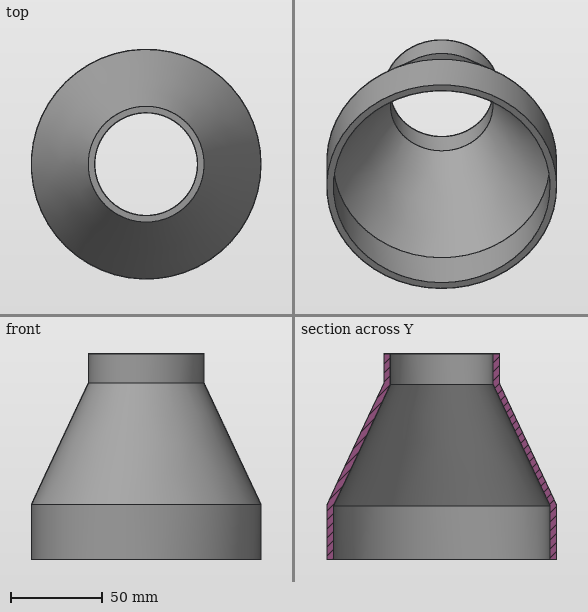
import cadquery as cq
import math

large_diameter = 125.0
small_diameter = 63.0
total_height = 112.0
large_collar_height = 30.0
small_collar_height = 16.0
wall = 3.6

large_radius = large_diameter / 2
small_radius = small_diameter / 2
cone_bottom = large_collar_height
cone_top = total_height - small_collar_height

cone_slope_angle = math.atan2(large_radius - small_radius, cone_top - cone_bottom)
inner_cone_drop = wall * math.tan(cone_slope_angle / 2)


def stepped_cone(lower_radius, upper_radius, cone_start, cone_end):
    """Solid of revolution: lower cylinder, cone, upper cylinder."""
    return (
        cq.Workplane("XZ")
        .lineTo(lower_radius, 0)
        .lineTo(lower_radius, cone_start)
        .lineTo(upper_radius, cone_end)
        .lineTo(upper_radius, total_height)
        .lineTo(0, total_height)
        .close()
        .revolve(360, (0, 0, 0), (0, 1, 0))
    )


outer_body = stepped_cone(large_radius, small_radius, cone_bottom, cone_top)
bore = stepped_cone(
    large_radius - wall,
    small_radius - wall,
    cone_bottom - inner_cone_drop,
    cone_top - inner_cone_drop,
)

result = outer_body.cut(bore)